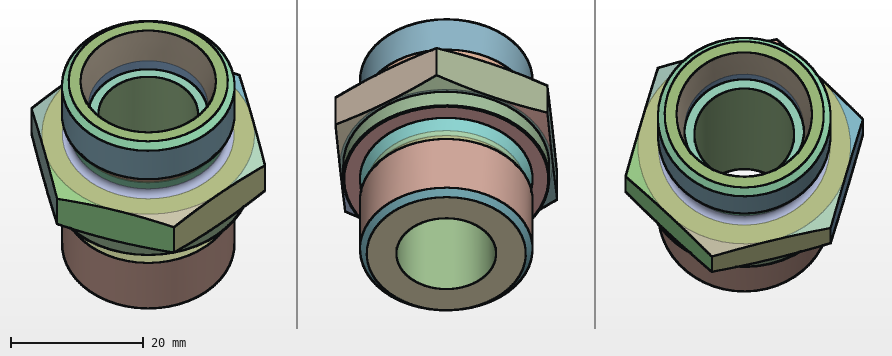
import cadquery as cq
import math

total_height = 38
bore_diameter = 15.0
thread_diameter = 26.0
neck_diameter = 23.7
thread_chamfer_width = 1.03
thread_chamfer_height = 1.0

hex_across_flats = 32.0
hex_bottom = 18.95
hex_top = 25.95
hex_corner_drop = 0.6
flange_diameter = 31.0
flange_bottom = 15.92
flange_edge_chamfer = 0.15

flank_angle = math.radians(30)
lower_groove_radius = 1.05
upper_neck_fillet = 1.05
upper_flank_fillet = 0.55
upper_thread_bottom = 30.5

socket_diameter = 18.0
socket_mouth_diameter = 20.35
socket_depth = 7.5
socket_cone_half_angle = 12

thread_radius = thread_diameter / 2
neck_radius = neck_diameter / 2
flange_radius = flange_diameter / 2
hex_inner_radius = hex_across_flats / 2
hex_corner_radius = hex_inner_radius / math.cos(math.radians(30))


def revolve_about_z(profile):
    """Revolve a closed radius-height profile a full turn about Z."""
    return profile.close().revolve(360, (0, 0, 0), (0, 1, 0))


def flank_end_radius(arc_radius):
    """Radius from Z at which a sloping thread flank blends into its root arc."""
    return neck_radius + arc_radius * (1 - math.cos(flank_angle))


def flank_height(arc_radius):
    """Height of the straight flank from the thread surface to its root arc."""
    return (thread_radius - flank_end_radius(arc_radius)) / math.tan(flank_angle)


def root_arc_middle(arc_radius):
    """Radial and axial offsets of the root arc's middle from its neck tangent point."""
    half_angle = flank_angle / 2
    return arc_radius * (1 - math.cos(half_angle)), arc_radius * math.sin(half_angle)


def turned_body():
    """Threaded ends, necks and flange as one turned solid."""
    end_radius = thread_radius - thread_chamfer_width
    fillet_side = upper_neck_fillet * (1 - math.sqrt(0.5))

    lower_arc_edge = flank_end_radius(lower_groove_radius)
    lower_arc_half_height = lower_groove_radius * math.sin(flank_angle)
    lower_arc_top = flange_bottom - flank_height(lower_groove_radius)
    lower_arc_middle = lower_arc_top - lower_arc_half_height
    lower_arc_bottom = lower_arc_middle - lower_arc_half_height
    lower_thread_top = lower_arc_bottom - flank_height(lower_groove_radius)

    upper_arc_edge = flank_end_radius(upper_flank_fillet)
    upper_arc_top = upper_thread_bottom - flank_height(upper_flank_fillet)
    upper_neck_top = upper_arc_top - upper_flank_fillet * math.sin(flank_angle)
    upper_arc_radial, upper_arc_axial = root_arc_middle(upper_flank_fillet)

    profile = (
        cq.Workplane("XZ")
        .lineTo(end_radius, 0)
        .lineTo(thread_radius, thread_chamfer_height)
        .lineTo(thread_radius, lower_thread_top)
        .lineTo(lower_arc_edge, lower_arc_bottom)
        .threePointArc((neck_radius, lower_arc_middle), (lower_arc_edge, lower_arc_top))
        .lineTo(thread_radius, flange_bottom)
        .lineTo(flange_radius - flange_edge_chamfer, flange_bottom)
        .lineTo(flange_radius, flange_bottom + flange_edge_chamfer)
        .lineTo(flange_radius, hex_top)
        .lineTo(neck_radius + upper_neck_fillet, hex_top)
        .threePointArc(
            (neck_radius + fillet_side, hex_top + fillet_side),
            (neck_radius, hex_top + upper_neck_fillet),
        )
        .lineTo(neck_radius, upper_neck_top)
        .threePointArc(
            (neck_radius + upper_arc_radial, upper_neck_top + upper_arc_axial),
            (upper_arc_edge, upper_arc_top),
        )
        .lineTo(thread_radius, upper_thread_bottom)
        .lineTo(thread_radius, total_height - thread_chamfer_height)
        .lineTo(end_radius, total_height)
        .lineTo(0, total_height)
    )
    return revolve_about_z(profile)


def chamfered_hexagon():
    """Hexagon with corners along Y, its corners turned down at both faces."""
    prism = (
        cq.Workplane("XY")
        .workplane(offset=hex_bottom)
        .polygon(6, 2 * hex_corner_radius)
        .extrude(hex_top - hex_bottom)
        .rotate((0, 0, 0), (0, 0, 1), 30)
    )
    envelope = (
        cq.Workplane("XZ")
        .moveTo(0, hex_bottom)
        .lineTo(hex_inner_radius, hex_bottom)
        .lineTo(hex_corner_radius, hex_bottom + hex_corner_drop)
        .lineTo(hex_corner_radius, hex_top - hex_corner_drop)
        .lineTo(hex_inner_radius, hex_top)
        .lineTo(0, hex_top)
    )
    return prism.intersect(revolve_about_z(envelope))


def stepped_bore():
    """Through bore opening into a cylindrical tube seat and a conical mouth."""
    bore_radius = bore_diameter / 2
    socket_radius = socket_diameter / 2
    mouth_radius = socket_mouth_diameter / 2
    cone_depth = (mouth_radius - socket_radius) / math.tan(math.radians(socket_cone_half_angle))
    profile = (
        cq.Workplane("XZ")
        .lineTo(bore_radius, 0)
        .lineTo(bore_radius, total_height - socket_depth)
        .lineTo(socket_radius, total_height - socket_depth)
        .lineTo(socket_radius, total_height - cone_depth)
        .lineTo(mouth_radius, total_height)
        .lineTo(0, total_height)
    )
    return revolve_about_z(profile)


result = turned_body().union(chamfered_hexagon()).cut(stepped_bore())